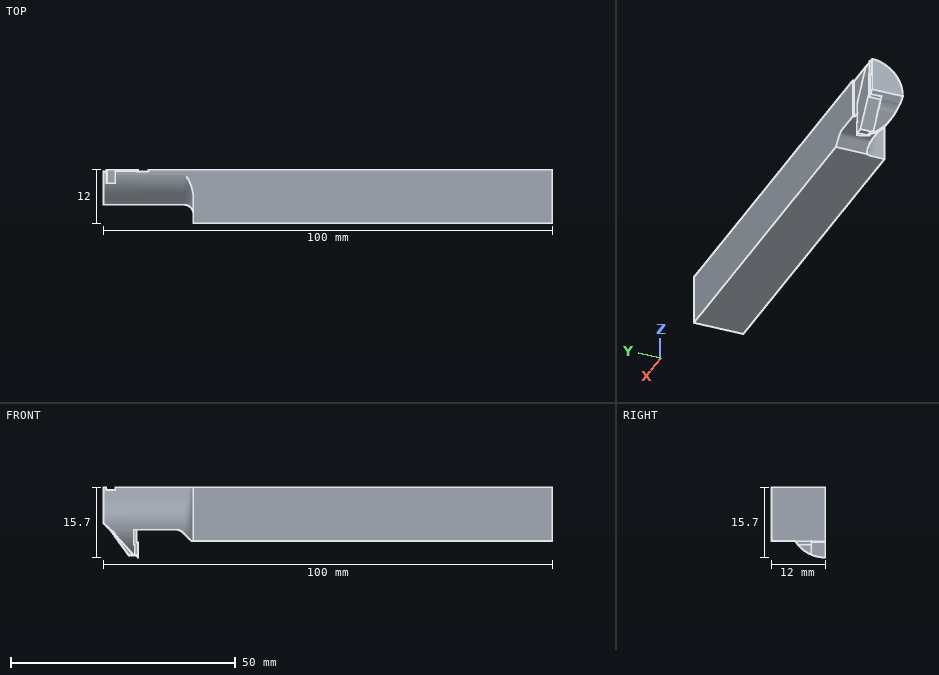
import cadquery as cq
import math

LENGTH = 100.0
SHANK = 12.0
BACK = SHANK / 2
TOP = SHANK / 2
BOTTOM = -SHANK / 2

NECK_LENGTH = 20.0
NECK_RADIUS = 7.9
NECK_DROP = 7.8
NECK_AXIS_Z = TOP - NECK_DROP
ROOT_FILLET = 2.0

NECK_BOTTOM = TOP - 9.5
RAMP_START = 16.2
RAMP_RADIUS = 2.2
HEAD_BOTTOM = TOP - NECK_DROP - NECK_RADIUS

NOSE_WALL = 6.7
NOSE_STEP = 0.3
NOSE_STEP_Z = -6.8
BEVEL_Z = -2.0
BEVEL = 1.2
HOLLOW = 1.7
HOLLOW_SAG = 0.15
NOSE_TIP_X = 6.8
NOSE_TIP_Z = -9.2

BACK_RELIEF = 0.4
BACK_RELIEF_LENGTH = 10.0

INSERT_THICKNESS = 3.1
INSERT_FRONT = BACK - INSERT_THICKNESS
INSERT_CENTRE_X = 4.15
INSERT_CENTRE_Z = -2.0
TIP_X = 7.7
TIP_STEP = 0.3
TIP_STEP_Z = -6.3
TIP_FLAT_Z = HEAD_BOTTOM + 0.4
TIP_FLAT_X = 5.7
FLANK_SLOPE = math.radians(54)


def box(x0, x1, y0, y1, z0, z1):
    """Box between two opposite corners."""
    return cq.Workplane("XY").box(x1 - x0, y1 - y0, z1 - z0, centered=False).translate((x0, y0, z0))


def rod(radius, length):
    """Cylinder along X on the neck axis, starting at the end face."""
    return cq.Workplane("YZ").center(BACK, NECK_AXIS_Z).circle(radius).extrude(length)


def plate(outline, y_front):
    """Extrude a closed XZ outline from y_front to the back plane."""
    return outline.extrude(y_front - BACK).translate((0, y_front, 0))


def root_fillet():
    """Concave flare of revolution between the neck and the shank shoulder."""
    start = NECK_LENGTH - ROOT_FILLET
    outer = NECK_RADIUS + ROOT_FILLET
    bend = ROOT_FILLET * math.sqrt(0.5)
    return (
        cq.Workplane("XY")
        .moveTo(start, 0)
        .lineTo(start, NECK_RADIUS)
        .threePointArc((start + bend, outer - bend), (NECK_LENGTH, outer))
        .lineTo(NECK_LENGTH, 0)
        .close()
        .revolve(360, (0, 0, 0), (1, 0, 0))
        .translate((0, BACK, NECK_AXIS_Z))
    )


def head_outline():
    """Side profile of neck and nose in XZ."""
    hollow_x = BEVEL
    hollow_z = BEVEL_Z - BEVEL
    half = HOLLOW / 2
    sag = HOLLOW_SAG * math.sqrt(0.5)
    ramp_side = RAMP_RADIUS * math.sqrt(0.5)
    ramp_drop = RAMP_RADIUS - ramp_side
    ramp_mid = math.radians(22.5)
    ramp_x = RAMP_START + ramp_side
    ramp_z = NECK_BOTTOM - ramp_drop
    return (
        cq.Workplane("XZ")
        .moveTo(0, TOP)
        .lineTo(0, BEVEL_Z)
        .lineTo(hollow_x, hollow_z)
        .threePointArc(
            (hollow_x + half + sag, hollow_z - half + sag),
            (hollow_x + HOLLOW, hollow_z - HOLLOW),
        )
        .lineTo(NOSE_TIP_X, NOSE_TIP_Z)
        .lineTo(NOSE_WALL + NOSE_STEP, NOSE_TIP_Z)
        .lineTo(NOSE_WALL + NOSE_STEP, NOSE_STEP_Z)
        .lineTo(NOSE_WALL, NOSE_STEP_Z)
        .lineTo(NOSE_WALL, NECK_BOTTOM)
        .lineTo(RAMP_START, NECK_BOTTOM)
        .threePointArc(
            (
                RAMP_START + RAMP_RADIUS * math.sin(ramp_mid),
                NECK_BOTTOM - RAMP_RADIUS * (1 - math.cos(ramp_mid)),
            ),
            (ramp_x, ramp_z),
        )
        .lineTo(ramp_x + ramp_z - BOTTOM, BOTTOM)
        .lineTo(NECK_LENGTH, BOTTOM)
        .lineTo(NECK_LENGTH, TOP)
        .close()
    )


def insert_plate():
    """Untrimmed two-tipped insert plate."""
    wall = TIP_X - TIP_STEP
    opposite_wall = 2 * INSERT_CENTRE_X - wall
    flank_end_z = TIP_FLAT_Z + (TIP_FLAT_X - opposite_wall) * math.tan(FLANK_SLOPE)
    half = [
        (wall, TIP_STEP_Z),
        (TIP_X, TIP_STEP_Z),
        (TIP_X, HEAD_BOTTOM),
        (wall, TIP_FLAT_Z),
        (TIP_FLAT_X, TIP_FLAT_Z),
        (opposite_wall, flank_end_z),
    ]
    turned = [(2 * INSERT_CENTRE_X - x, 2 * INSERT_CENTRE_Z - z) for x, z in half]
    return plate(cq.Workplane("XZ").polyline(half + turned).close(), INSERT_FRONT)


def make_insert():
    """Insert plate ground to the round envelope of the head."""
    return insert_plate().intersect(rod(NECK_RADIUS, NECK_LENGTH))


def make_holder():
    """Shank, neck and nose with the seat for the insert."""
    shank = box(NECK_LENGTH, LENGTH, -BACK, BACK, BOTTOM, TOP)
    head = rod(NECK_RADIUS, NECK_LENGTH).union(root_fillet())
    head = head.intersect(plate(head_outline(), -BACK))
    relief = box(0, BACK_RELIEF_LENGTH, BACK - BACK_RELIEF, BACK, HEAD_BOTTOM, TOP)
    idle_tip_x = 2 * INSERT_CENTRE_X - TIP_X
    idle_flat_x = 2 * INSERT_CENTRE_X - TIP_FLAT_X
    idle_flat_z = 2 * INSERT_CENTRE_Z - TIP_FLAT_Z
    seat_opening = box(idle_tip_x, idle_flat_x, INSERT_FRONT, BACK, idle_flat_z, TOP)
    return shank.union(head).cut(relief).cut(insert_plate()).cut(seat_opening)


holder = make_holder()
insert = make_insert()
result = cq.Compound.makeCompound([*holder.solids().vals(), *insert.solids().vals()])